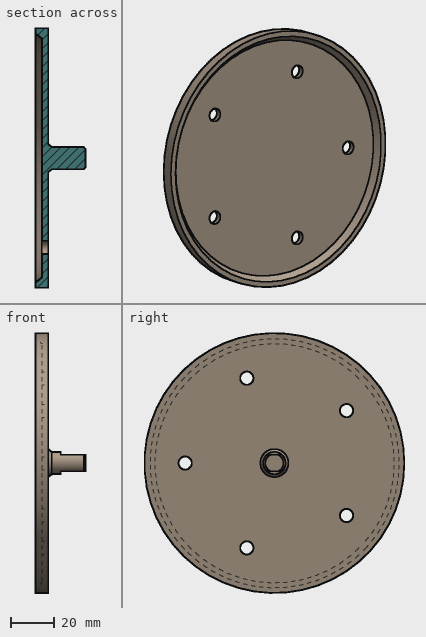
import cadquery as cq

disc_radius = 60.0
disc_thickness = 6.0
recess_rim_radius = 57.5
recess_floor_radius = 55.2
recess_depth = 3.0

hole_count = 5
hole_diameter = 6.0
hole_circle_radius = 41.1
first_hole_angle = 180.0

stem_radius = 5.2
stem_length = 17.3
flare_radius = 6.5
flare_length = 1.7
tip_chamfer = 1.0
flat_start = 5.8
across_flats = 7.7

stem_end = disc_thickness + stem_length


def make_body():
    """Revolve the disc, its tapered recess and the stem about X."""
    return (
        cq.Workplane("XY")
        .moveTo(recess_depth, 0)
        .lineTo(recess_depth, recess_floor_radius)
        .lineTo(0, recess_rim_radius)
        .lineTo(0, disc_radius)
        .lineTo(disc_thickness, disc_radius)
        .lineTo(disc_thickness, flare_radius)
        .lineTo(disc_thickness + flare_length, stem_radius)
        .lineTo(stem_end - tip_chamfer, stem_radius)
        .lineTo(stem_end, stem_radius - tip_chamfer)
        .lineTo(stem_end, 0)
        .close()
        .revolve(360, (0, 0, 0), (1, 0, 0))
    )


def make_holes():
    """Cylinders for the evenly spaced holes; local x and y are Y and Z."""
    return (
        cq.Workplane("YZ")
        .polarArray(hole_circle_radius, first_hole_angle, 360, hole_count)
        .circle(hole_diameter / 2)
        .extrude(disc_thickness)
    )


def make_flat_cutter(side):
    """Block that cuts one flat on the stem, above (+1) or below (-1)."""
    block_length = stem_length - flat_start
    block_height = stem_radius
    return cq.Workplane("XY").box(block_length, 2 * stem_radius, block_height).translate(
        (stem_end - block_length / 2, 0, side * (across_flats + block_height) / 2)
    )


result = make_body().cut(make_holes())
for flat_side in (1, -1):
    result = result.cut(make_flat_cutter(flat_side))